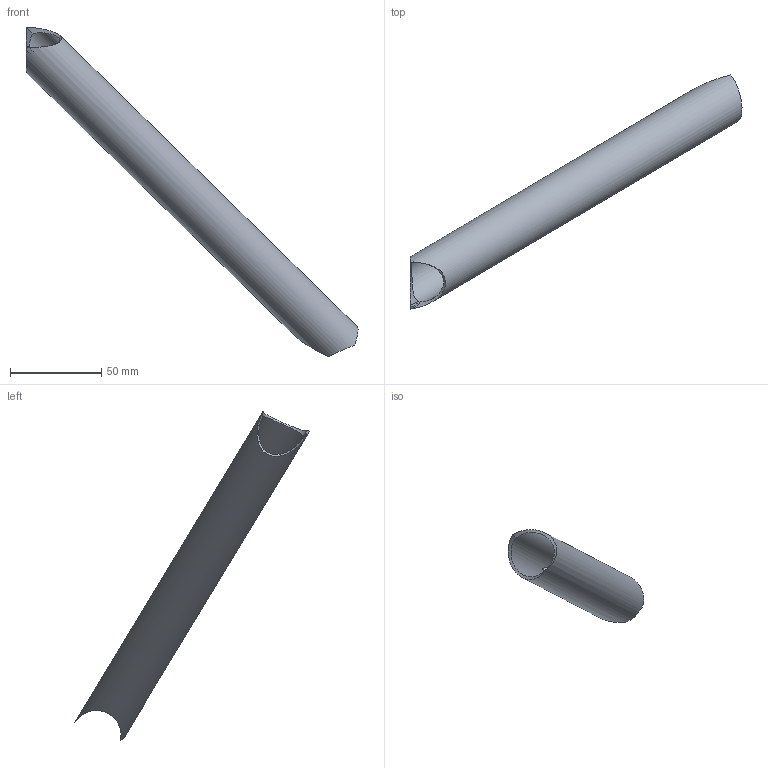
import cadquery as cq


tube_radius = 13.75
wall = 1.5
upper_node = cq.Vector(0, 0, 0)
lower_node = cq.Vector(175.9, 104.3, -172.35)

overrun = 40.0
branch_length = 120.0
trim_size = 200.0

span = lower_node - upper_node
axis = span.normalized()

upper_branches = [
    cq.Vector(-axis.x, axis.y, axis.z),
    cq.Vector(0.759, -0.168, 0.629).normalized(),
]
lower_branches = [
    cq.Vector(-1, 0, 0),
    cq.Vector(1, 0, 0),
    cq.Vector(0, -0.555, -0.832).normalized(),
]

copes = [(upper_node, axis, branch) for branch in upper_branches]
copes += [(lower_node, -axis, branch) for branch in lower_branches]


def rod(start, direction, length, radius):
    """Solid round bar running from start along direction."""
    return cq.Workplane(cq.Solid.makeCylinder(radius, length, start, direction))


def raw_tube():
    """Uncut tube, running past both nodes."""
    start = upper_node - axis * overrun
    length = span.Length + 2 * overrun
    outside = rod(start, axis, length, tube_radius)
    bore = rod(start, axis, length, tube_radius - wall)
    return outside.cut(bore)


def beyond_mitre(node, inward, branch):
    """Block past the plane that halves the angle between the strut and a branch."""
    plane = cq.Plane(origin=node, normal=branch - inward)
    return cq.Workplane(plane).rect(trim_size, trim_size).extrude(trim_size)


def mitred_tube():
    """Tube trimmed to the mitre planes of every branch."""
    body = raw_tube()
    for node, inward, branch in copes:
        body = body.cut(beyond_mitre(node, inward, branch))
    return body


def coped_tube():
    """Mitred tube with its wall cleared out of every branch tube."""
    body = mitred_tube()
    for node, _, branch in copes:
        body = body.cut(rod(node, branch, branch_length, tube_radius))
    return body


result = coped_tube()